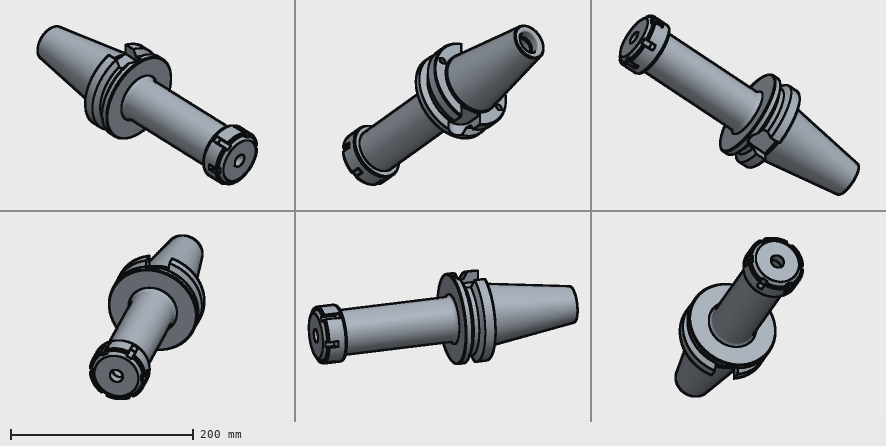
import cadquery as cq
import math

TOTAL_LENGTH = 296.5

TAPER_LENGTH = 102.0
TAPER_SMALL_RADIUS = 20.2
TAPER_LARGE_RADIUS = 35.0
TAPER_END_CHAMFER = 1.0
RELIEF_DEPTH = 1.0

FLANGE_START = 104.7
FLANGE_END = 139.7
FLANGE_RADIUS = 100.0 / 2
FLANGE_EDGE_CHAMFER = 1.0
GROOVE_START = 117.0
GROOVE_END = 132.2
GROOVE_SIDE_LENGTH = 4.5
GROOVE_FLOOR_RADIUS = 42.5

NECK_RADIUS = 25.0
NECK_FILLET_LENGTH = 5.3
NECK_FILLET_RISE = 2.7

MOUTH_FILLET = 2.5
PILOT_RADIUS = 12.5
PILOT_END = 11.3
THREAD_RADIUS = 10.5
THREAD_END = 56.3
THREAD_CONE_RADIUS = 12.0
THREAD_CONE_LENGTH = 1.0
THROUGH_RADIUS = 7.5
THROUGH_CONE_LENGTH = 1.63

DRIVE_SLOT_WIDTH = 26.0
DRIVE_SLOT_END = 135.8
DRIVE_SLOT_FLOOR = 35.3

COOLANT_RADIUS = 3.0
COOLANT_DEPTH = 9.0
COOLANT_PITCH_RADIUS = 41.8
COOLANT_TURN = 70.0
COOLANT_SLANT = 45.0

NUT_START = 270.7
NUT_RADIUS = 63.2 / 2
NUT_SHOULDER = 293.0
NUT_EDGE_LENGTH = 1.8
NUT_EDGE_DEPTH = 1.0
NUT_CONE_RADIUS = 29.0
NUT_FACE_RADIUS = 25.0
NUT_NOSE_EDGE_LENGTH = 1.0
NUT_NOSE_EDGE_DEPTH = 1.5
NUT_SEAT_END = 284.5

SLOT_WIDTH = 6.5
SLOT_FLOOR_RADIUS = 27.5
LONG_SLOT_START = 274.3
SHORT_SLOT_START = 280.5
LONG_SLOT_ANGLES = (30, -30)
SHORT_SLOT_ANGLES = (90, 150, -150, -90)

AXIS_START = (0, 0, 0)
AXIS_END = (1, 0, 0)


def revolve_about_x(outline):
    """Close a half outline drawn in the XY plane and turn it about the X axis."""
    return outline.close().revolve(360, AXIS_START, AXIS_END)


def holder_blank():
    """Taper, relief groove, flange with V groove, and neck in one turned shape."""
    taper_slope = (TAPER_LARGE_RADIUS - TAPER_SMALL_RADIUS) / TAPER_LENGTH
    chamfered_radius = TAPER_SMALL_RADIUS + taper_slope * TAPER_END_CHAMFER
    relief_middle = (TAPER_LENGTH + FLANGE_START) / 2
    neck_start = FLANGE_END + NECK_FILLET_LENGTH
    outline = (
        cq.Workplane("XY")
        .moveTo(0, 0)
        .lineTo(0, TAPER_SMALL_RADIUS - TAPER_END_CHAMFER)
        .lineTo(TAPER_END_CHAMFER, chamfered_radius)
        .lineTo(TAPER_LENGTH, TAPER_LARGE_RADIUS)
        .threePointArc(
            (relief_middle, TAPER_LARGE_RADIUS - RELIEF_DEPTH),
            (FLANGE_START, TAPER_LARGE_RADIUS),
        )
        .lineTo(FLANGE_START, FLANGE_RADIUS - FLANGE_EDGE_CHAMFER)
        .lineTo(FLANGE_START + FLANGE_EDGE_CHAMFER, FLANGE_RADIUS)
        .lineTo(GROOVE_START, FLANGE_RADIUS)
        .lineTo(GROOVE_START + GROOVE_SIDE_LENGTH, GROOVE_FLOOR_RADIUS)
        .lineTo(GROOVE_END - GROOVE_SIDE_LENGTH, GROOVE_FLOOR_RADIUS)
        .lineTo(GROOVE_END, FLANGE_RADIUS)
        .lineTo(FLANGE_END - FLANGE_EDGE_CHAMFER, FLANGE_RADIUS)
        .lineTo(FLANGE_END, FLANGE_RADIUS - FLANGE_EDGE_CHAMFER)
        .lineTo(FLANGE_END, NECK_RADIUS + NECK_FILLET_RISE)
    )
    fillet_radius = (NECK_FILLET_LENGTH**2 + NECK_FILLET_RISE**2) / (2 * NECK_FILLET_RISE)
    half_sweep = math.asin(NECK_FILLET_LENGTH / fillet_radius) / 2
    fillet_middle = (
        neck_start - fillet_radius * math.sin(half_sweep),
        NECK_RADIUS + fillet_radius * (1 - math.cos(half_sweep)),
    )
    outline = (
        outline.threePointArc(fillet_middle, (neck_start, NECK_RADIUS))
        .lineTo(NUT_SEAT_END, NECK_RADIUS)
        .lineTo(NUT_SEAT_END, 0)
    )
    return revolve_about_x(outline)


def holder_bore():
    """Rounded mouth, pilot bore, thread bore and through bore."""
    diagonal = math.sqrt(0.5)
    outline = (
        cq.Workplane("XY")
        .moveTo(0, 0)
        .lineTo(0, PILOT_RADIUS + MOUTH_FILLET)
        .threePointArc(
            (MOUTH_FILLET * (1 - diagonal), PILOT_RADIUS + MOUTH_FILLET * (1 - diagonal)),
            (MOUTH_FILLET, PILOT_RADIUS),
        )
        .lineTo(PILOT_END, PILOT_RADIUS)
        .lineTo(PILOT_END, THREAD_CONE_RADIUS)
        .lineTo(PILOT_END + THREAD_CONE_LENGTH, THREAD_RADIUS)
        .lineTo(THREAD_END, THREAD_RADIUS)
        .lineTo(THREAD_END + THROUGH_CONE_LENGTH, THROUGH_RADIUS)
        .lineTo(NUT_SEAT_END, THROUGH_RADIUS)
        .lineTo(NUT_SEAT_END, 0)
    )
    return revolve_about_x(outline)


def drive_slot():
    """Round-ended slot that cuts the +Z side of the flange from its taper face."""
    half_width = DRIVE_SLOT_WIDTH / 2
    return (
        cq.Workplane("XY", origin=(0, 0, DRIVE_SLOT_FLOOR))
        .moveTo(TAPER_LENGTH, -half_width)
        .lineTo(DRIVE_SLOT_END - half_width, -half_width)
        .threePointArc((DRIVE_SLOT_END, 0), (DRIVE_SLOT_END - half_width, half_width))
        .lineTo(TAPER_LENGTH, half_width)
        .close()
        .extrude(FLANGE_RADIUS)
    )


def coolant_hole():
    """Blind hole in the flange face above the axis, slanting in toward the axis."""
    slant = math.radians(COOLANT_SLANT)
    direction = cq.Vector(math.cos(slant), 0, -math.sin(slant))
    mouth = cq.Vector(FLANGE_START, 0, COOLANT_PITCH_RADIUS)
    lead_in = 2 * COOLANT_RADIUS
    start = mouth - direction * lead_in
    drill = cq.Solid.makeCylinder(COOLANT_RADIUS, lead_in + COOLANT_DEPTH, start, direction)
    return cq.Workplane(drill)


def make_holder():
    holder = holder_blank().cut(holder_bore())
    for half_turn in (0, 180):
        holder = holder.cut(drive_slot().rotate(AXIS_START, AXIS_END, half_turn))
        holder = holder.cut(coolant_hole().rotate(AXIS_START, AXIS_END, half_turn - COOLANT_TURN))
    return holder


def nut_blank():
    """Turned nut with a seat for the neck, a coned nose and a bevelled front edge."""
    outline = (
        cq.Workplane("XY")
        .moveTo(NUT_START, NECK_RADIUS)
        .lineTo(NUT_START, NUT_RADIUS - NUT_EDGE_DEPTH)
        .lineTo(NUT_START + NUT_EDGE_LENGTH, NUT_RADIUS)
        .lineTo(NUT_SHOULDER - NUT_EDGE_LENGTH, NUT_RADIUS)
        .lineTo(NUT_SHOULDER, NUT_RADIUS - NUT_EDGE_DEPTH)
        .lineTo(NUT_SHOULDER, NUT_CONE_RADIUS)
        .lineTo(TOTAL_LENGTH - NUT_NOSE_EDGE_LENGTH, NUT_FACE_RADIUS + NUT_NOSE_EDGE_DEPTH)
        .lineTo(TOTAL_LENGTH, NUT_FACE_RADIUS)
        .lineTo(TOTAL_LENGTH, THROUGH_RADIUS)
        .lineTo(NUT_SEAT_END, THROUGH_RADIUS)
        .lineTo(NUT_SEAT_END, NECK_RADIUS)
    )
    return revolve_about_x(outline)


def wrench_slot(start, angle):
    """Slot with a 45 degree end wall, open at the nose, turned from +Z toward -Y."""
    rise = NUT_RADIUS - SLOT_FLOOR_RADIUS
    slot = (
        cq.Workplane("XZ")
        .moveTo(start + rise, SLOT_FLOOR_RADIUS)
        .lineTo(start - rise, NUT_RADIUS + rise)
        .lineTo(TOTAL_LENGTH, NUT_RADIUS + rise)
        .lineTo(TOTAL_LENGTH, SLOT_FLOOR_RADIUS)
        .close()
        .extrude(SLOT_WIDTH / 2, both=True)
    )
    return slot.rotate(AXIS_START, AXIS_END, angle)


def make_nut():
    nut = nut_blank()
    for angle in LONG_SLOT_ANGLES:
        nut = nut.cut(wrench_slot(LONG_SLOT_START, angle))
    for angle in SHORT_SLOT_ANGLES:
        nut = nut.cut(wrench_slot(SHORT_SLOT_START, angle))
    return nut


holder = make_holder()
nut = make_nut()

result = cq.Compound.makeCompound([holder.val(), nut.val()])